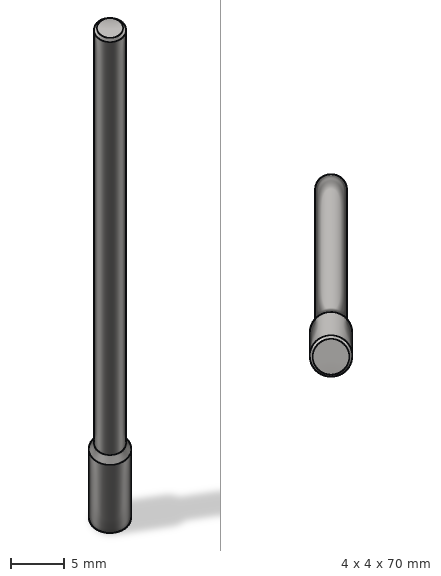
import cadquery as cq

total_length = 70.0
rod_diameter = 3.0
head_diameter = 4.0
head_straight_length = 10.0
shoulder_height = 0.85
end_chamfer = 0.3

head_length = head_straight_length + shoulder_height
rod_length = total_length - head_length
shoulder_width = (head_diameter - rod_diameter) / 2


def make_head():
    """Thick lower head with a chamfered foot and a conical shoulder that ends at the rod diameter."""
    head = cq.Workplane("XY").circle(head_diameter / 2).extrude(head_length)
    head = head.faces("<Z").chamfer(end_chamfer)
    return head.faces(">Z").edges().chamfer(shoulder_height, shoulder_width)


def make_rod():
    """Slender rod standing on the head, with a chamfered free end."""
    rod = cq.Workplane("XY").workplane(offset=head_length).circle(rod_diameter / 2).extrude(rod_length)
    return rod.faces(">Z").chamfer(end_chamfer)


head = make_head()
rod = make_rod()

result = cq.Compound.makeCompound([head.val(), rod.val()])